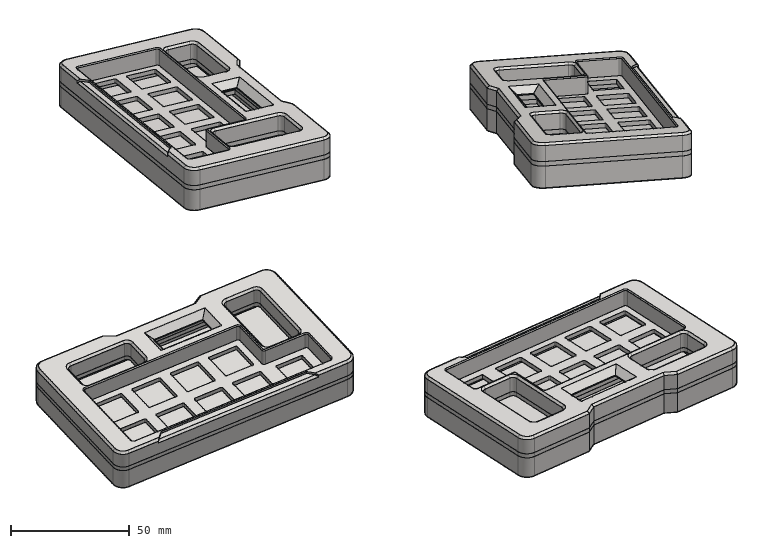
import cadquery as cq
LENGTH = 118.6
WIDTH = 69.5
HEIGHT = 20.0
BASE_TOP = 10.0
PLATE_TOP = 12.0
CORNER_RADIUS = 5.0
RIM_CHAMFER = 1.0
FOOT_CHAMFER = 0.4

NOTCH_DEPTH = 3.0
NOTCH_MOUTH = 48.4
NOTCH_FLOOR = 38.7

KEY_COLUMNS = 4
KEY_ROWS = 2
KEY_SIZE = 14.0
KEY_RADIUS = 0.5
GRID_SPAN = 57.2
KEY_PITCH = GRID_SPAN / (KEY_COLUMNS - 1)
GRID_CENTER_X = -10.9
GRID_CENTER_Y = -10.2
KNOB_CENTER = (38.4, -19.9)
KNOB_SIZE = 13.0

KEY_MARGIN = 3.1
OPENING_RADIUS = 1.1
OPENING_CHAMFER = 0.5
OPENING_LEFT = GRID_CENTER_X - (GRID_SPAN + KEY_SIZE) / 2 - KEY_MARGIN
OPENING_STEP_X = GRID_CENTER_X + (GRID_SPAN + KEY_SIZE) / 2 + KEY_MARGIN
OPENING_FRONT = GRID_CENTER_Y - (KEY_PITCH + KEY_SIZE) / 2 - KEY_MARGIN
OPENING_REAR = GRID_CENTER_Y + (KEY_PITCH + KEY_SIZE) / 2 + KEY_MARGIN
OPENING_RIGHT = -OPENING_LEFT
OPENING_STEP_Y = -10.1

POCKETS = [
    ((-32.3, 18.4), (30.6, 14.6)),
    ((38.7, 8.7), (17.5, 33.9)),
]
POCKET_RADIUS = 2.0
POCKET_CHAMFER = RIM_CHAMFER

WINDOW_CENTER = (6.4, 19.6)
WINDOW_SIZE = (24.2, 7.4)
WINDOW_TAPER = 3.0
WINDOW_LIP = 0.5
DISPLAY_SIZE = (39.1, 13.9)

GRIP_REAR = -31.1
GRIP_DEPTH = 1.0
GRIP_REAR_WIDTH = 72.3

CAVITY_HALF_LENGTH = 50.0
CAVITY_REAR = 28.2
CAVITY_DEPTH = 3.3


def at_height(z):
    return cq.Workplane("XY").workplane(offset=z)


def layer(bottom, top):
    """Slab with the outer outline: rounded corners and the rear notch."""
    slab = at_height(bottom).rect(LENGTH, WIDTH).extrude(top - bottom)
    slab = slab.edges("|Z").fillet(CORNER_RADIUS)
    rear = WIDTH / 2
    notch_points = [
        (-NOTCH_MOUTH / 2, rear),
        (-NOTCH_FLOOR / 2, rear - NOTCH_DEPTH),
        (NOTCH_FLOOR / 2, rear - NOTCH_DEPTH),
        (NOTCH_MOUTH / 2, rear),
    ]
    notch = at_height(bottom).polyline(notch_points).close().extrude(top - bottom)
    return slab.cut(notch)


def block(center, size, bottom, top):
    """Upright rectangular block."""
    return at_height(bottom).center(*center).rect(*size).extrude(top - bottom)


def flared(cutter, chamfer):
    """Widen the top of a cutter at 45 degrees so that it leaves a chamfered rim."""
    rim = cutter.faces(">Z").wires().toPending().offset2D(chamfer)
    return cutter.union(rim.extrude(-chamfer, combine=False, taper=45))


def pocket_cutter(center, size, bottom, top):
    return block(center, size, bottom, top).edges("|Z").fillet(POCKET_RADIUS)


def key_opening_cutter():
    points = [
        (OPENING_LEFT, OPENING_FRONT),
        (OPENING_RIGHT, OPENING_FRONT),
        (OPENING_RIGHT, OPENING_STEP_Y),
        (OPENING_STEP_X, OPENING_STEP_Y),
        (OPENING_STEP_X, OPENING_REAR),
        (OPENING_LEFT, OPENING_REAR),
    ]
    cutter = at_height(PLATE_TOP).polyline(points).close().extrude(HEIGHT - PLATE_TOP)
    return flared(cutter.edges("|Z").fillet(OPENING_RADIUS), OPENING_CHAMFER)


def window_cutter():
    funnel_bottom = HEIGHT - WINDOW_TAPER
    recess_top = funnel_bottom - WINDOW_LIP
    window_top = [side + 2 * WINDOW_TAPER for side in WINDOW_SIZE]
    funnel = (
        at_height(funnel_bottom)
        .center(*WINDOW_CENTER)
        .rect(*WINDOW_SIZE)
        .workplane(offset=WINDOW_TAPER)
        .rect(*window_top)
        .loft()
    )
    lip = block(WINDOW_CENTER, WINDOW_SIZE, recess_top, funnel_bottom)
    recess = block(WINDOW_CENTER, DISPLAY_SIZE, PLATE_TOP, recess_top)
    return recess.union(lip).union(funnel)


def chamfered_lid_blank(top):
    return layer(PLATE_TOP, top).faces(">Z").edges().chamfer(RIM_CHAMFER)


def grip_cutter():
    """Trapezoid with 45-degree ends, down to a floor that has its own chamfered front edge."""
    front = -WIDTH / 2
    rear_half = GRIP_REAR_WIDTH / 2
    front_half = rear_half + GRIP_REAR - front
    points = [
        (-front_half, front),
        (front_half, front),
        (rear_half, GRIP_REAR),
        (-rear_half, GRIP_REAR),
    ]
    column = at_height(PLATE_TOP).polyline(points).close().extrude(HEIGHT - PLATE_TOP)
    return column.cut(chamfered_lid_blank(HEIGHT - GRIP_DEPTH))


def make_lid():
    lid = chamfered_lid_blank(HEIGHT)
    for center, size in POCKETS:
        pocket = pocket_cutter(center, size, PLATE_TOP, HEIGHT)
        lid = lid.cut(flared(pocket, POCKET_CHAMFER))
    return lid.cut(key_opening_cutter()).cut(window_cutter()).cut(grip_cutter())


def make_plate():
    plate = layer(BASE_TOP, PLATE_TOP)
    for column in range(KEY_COLUMNS):
        for row in range(KEY_ROWS):
            center = (
                GRID_CENTER_X + (column - (KEY_COLUMNS - 1) / 2) * KEY_PITCH,
                GRID_CENTER_Y + (row - (KEY_ROWS - 1) / 2) * KEY_PITCH,
            )
            key_hole = block(center, (KEY_SIZE, KEY_SIZE), BASE_TOP, PLATE_TOP)
            plate = plate.cut(key_hole.edges("|Z").fillet(KEY_RADIUS))
    plate = plate.cut(block(KNOB_CENTER, (KNOB_SIZE, KNOB_SIZE), BASE_TOP, PLATE_TOP))
    for center, size in POCKETS:
        plate = plate.cut(pocket_cutter(center, size, BASE_TOP, PLATE_TOP))
    return plate.cut(block(WINDOW_CENTER, DISPLAY_SIZE, BASE_TOP, PLATE_TOP))


def make_base():
    base = layer(0, BASE_TOP).faces("<Z").edges().chamfer(FOOT_CHAMFER)
    cavity_center = (0, (CAVITY_REAR + OPENING_FRONT) / 2)
    cavity_size = (2 * CAVITY_HALF_LENGTH, CAVITY_REAR - OPENING_FRONT)
    return base.cut(block(cavity_center, cavity_size, BASE_TOP - CAVITY_DEPTH, BASE_TOP))


base = make_base()
plate = make_plate()
lid = make_lid()

result = cq.Compound.makeCompound([base.val(), plate.val(), lid.val()])